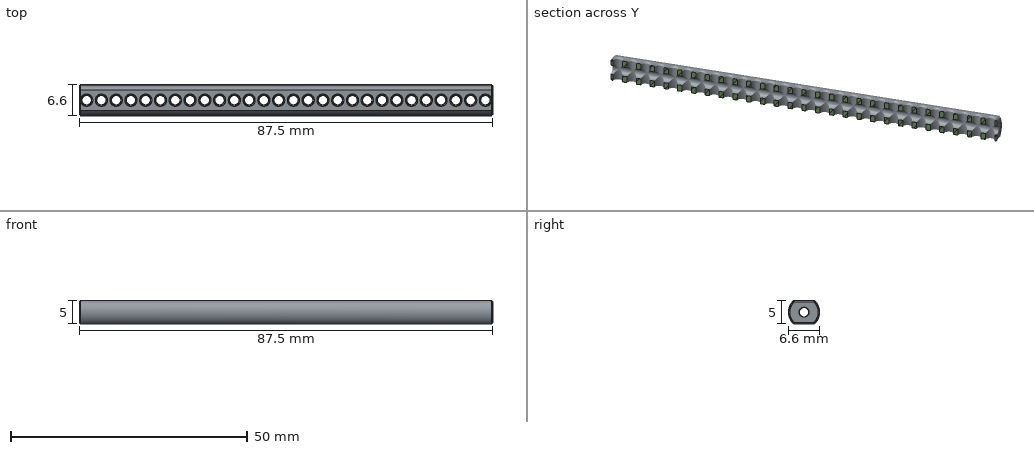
import cadquery as cq

length = 87.5
rod_diameter = 6.6
height_over_flats = 5.0
end_chamfer = 0.3

hole_count = 28
hole_pitch = length / hole_count
first_hole_x = (hole_pitch - length) / 2
cross_hole_diameter = 2.0
cross_hole_chamfer = 0.3

bore_diameter = 2.0

flat_z = height_over_flats / 2


def flatted_rod():
    """Rod centred on the origin, with two flats and chamfered end faces."""
    rod = cq.Workplane("YZ").circle(rod_diameter / 2).extrude(length / 2, both=True)
    slab = cq.Workplane("XY").box(length, rod_diameter, height_over_flats)
    return rod.intersect(slab).faces("<X or >X").chamfer(end_chamfer)


def axial_bore():
    """Cutter for the bore that runs through the whole length."""
    return cq.Workplane("YZ").circle(bore_diameter / 2).extrude(length / 2, both=True)


def cross_hole_cutter():
    """Cutter for one through hole with a chamfered mouth on the top flat."""
    hole_radius = cross_hole_diameter / 2
    mouth_radius = hole_radius + cross_hole_chamfer
    profile = [
        (0, -flat_z),
        (hole_radius, -flat_z),
        (hole_radius, flat_z - cross_hole_chamfer),
        (mouth_radius, flat_z),
        (0, flat_z),
    ]
    return cq.Workplane("XZ").polyline(profile).close().revolve(360, (0, 0), (0, 1))


result = flatted_rod().cut(axial_bore())
hole_cutter = cross_hole_cutter()
for index in range(hole_count):
    hole_x = first_hole_x + index * hole_pitch
    result = result.cut(hole_cutter.translate((hole_x, 0, 0)))